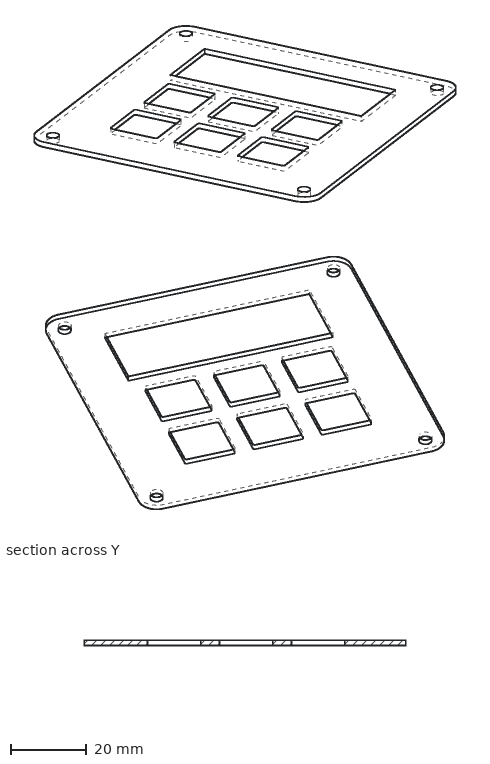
import cadquery as cq

plate_size = 85.1
plate_thickness = 1.5
corner_radius = 5.0

screw_hole_diameter = 3.4
screw_hole_spacing = plate_size - 2 * corner_radius

window_width = 57.1
window_height = 19.3
window_center_y = 21.4

key_columns = 3
key_rows = 2
key_pitch = 19.05
key_cutout_size = 14.0
key_corner_radius = 0.5
key_grid_center = (-0.3, -10.0)


def make_plate():
    """Square plate with rounded corners, resting on Z = 0."""
    return (
        cq.Workplane("XY")
        .rect(plate_size, plate_size)
        .extrude(plate_thickness)
        .edges("|Z")
        .fillet(corner_radius)
    )


def make_screw_holes():
    """Cutter for one through hole at each corner."""
    return (
        cq.Workplane("XY")
        .rect(screw_hole_spacing, screw_hole_spacing, forConstruction=True)
        .vertices()
        .circle(screw_hole_diameter / 2)
        .extrude(plate_thickness)
    )


def make_display_window():
    """Cutter for the sharp-cornered display opening."""
    return (
        cq.Workplane("XY")
        .center(0, window_center_y)
        .rect(window_width, window_height)
        .extrude(plate_thickness)
    )


def make_key_cutouts():
    """Cutter for the grid of square key openings with slightly rounded corners."""
    return (
        cq.Workplane("XY")
        .center(*key_grid_center)
        .rarray(key_pitch, key_pitch, key_columns, key_rows)
        .rect(key_cutout_size, key_cutout_size)
        .extrude(plate_thickness)
        .edges("|Z")
        .fillet(key_corner_radius)
    )


result = (
    make_plate()
    .cut(make_screw_holes())
    .cut(make_display_window())
    .cut(make_key_cutouts())
)